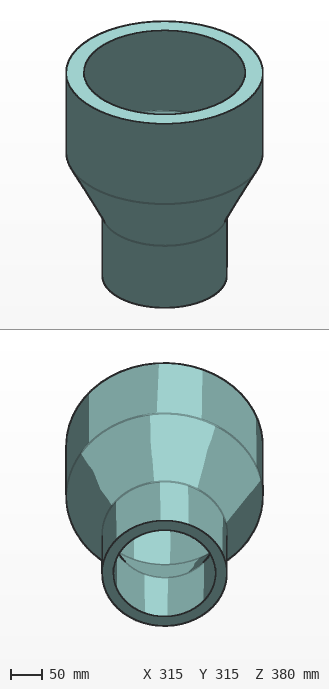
import cadquery as cq

total_height = 380.0
large_diameter = 315.0
large_wall = 28.5
small_diameter = 200.0
small_wall = 18.2
small_length = 117.0
large_length = 150.0
blend_radius = 5.0

cone_bottom = small_length
cone_top = total_height - large_length


def stepped_solid(large_radius, small_radius):
    """Revolve two cylinders joined by a cone about Z, with the cone's two rims rounded."""
    return (
        cq.Workplane("XZ")
        .lineTo(-small_radius, 0)
        .lineTo(-small_radius, cone_bottom)
        .lineTo(-large_radius, cone_top)
        .lineTo(-large_radius, total_height)
        .lineTo(0, total_height)
        .close()
        .revolve(360, (0, 0, 0), (0, 1, 0))
        .faces("%CONE")
        .edges("%CIRCLE")
        .fillet(blend_radius)
    )


body = stepped_solid(large_diameter / 2, small_diameter / 2)
bore = stepped_solid(large_diameter / 2 - large_wall, small_diameter / 2 - small_wall)

result = body.cut(bore)